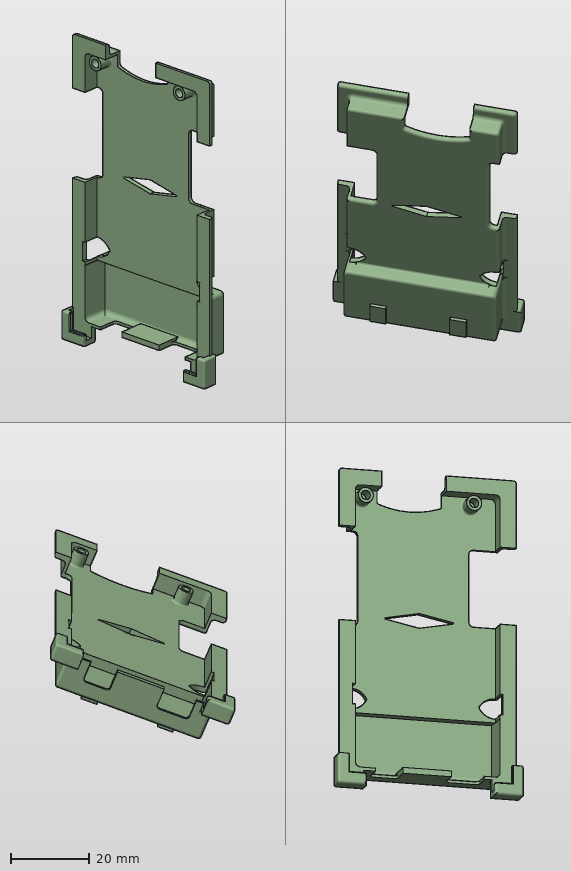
import cadquery as cq
import math

OVERALL_HEIGHT = 84.51
OVERALL_DEPTH = 13.97
CLIP_WIDTH = 49.3

FLANGE_WIDTH = 47.06
FLANGE_FRONT = 3.24
FLANGE_THICKNESS = 1.5
FLANGE_BACK = FLANGE_FRONT + FLANGE_THICKNESS
FLANGE_ROUND = 0.8
FLANGE_BOTTOM = 1.6

WALL = 0.8
TRAY_WIDTH = 40.04
TRAY_INNER_WIDTH = TRAY_WIDTH - 2 * WALL
TRAY_BOTTOM = 4.7
TRAY_TOP = 81.24
TRAY_BACK = 9.37
PLATE_THICKNESS = 1.5
PLATE_FRONT = TRAY_BACK - PLATE_THICKNESS
TRAY_CORNER = 0.8
POCKET_CORNER = 1.3
TRAY_EDGE_ROUND = 0.75
ROOT_FILLET = 1.1

BOX_TOP = 22.2
BOX_BACK = 13.07
BOX_FLOOR = 10.6
BOX_CORNER = 1.3
BOX_EDGE_ROUND = 0.8
BOX_TOP_WALL = 1.05
BOX_FLOOR_FILLET = 1.4
BOX_FLOOR_WIDTH = 37.9
BOX_INNER_TOP = BOX_TOP - BOX_TOP_WALL
BOX_INNER_BOTTOM = TRAY_BOTTOM + WALL
JUNCTION_FILLET = 0.55
JUNCTION_WIDTH = 34.8

SIDE_CUT_ROUND = 1.3
LEFT_CUT_X, LEFT_CUT_BOTTOM, LEFT_CUT_TOP = -17.3, 44.3, 69.35
RIGHT_CUT_X, RIGHT_CUT_BOTTOM, RIGHT_CUT_TOP = 12.2, 46.2, 66.65
NOTCH_LEFT, NOTCH_RIGHT = -12.2, 4.98
NOTCH_CORNER_Z = 77.1
NOTCH_LOW_Z = 75.5
NOTCH_ROUND = 0.6
DIAMOND_X, DIAMOND_Z = -1.0, 46.8
DIAMOND_LENGTH, DIAMOND_HEIGHT = 19.8, 3.9
DIAMOND_ROUND = 0.2

PORT_Z, PORT_HEIGHT = 24.9, 5.4
PORT_TIP_X = 14.9
PORT_ARC_START_X = TRAY_INNER_WIDTH / 2

BOSS_CENTRES = [(-16.3, 78.05), (12.5, 78.05)]
BOSS_RADIUS = 2.0
BOSS_HEIGHT = 4.0
BOSS_FILLET = 0.5
BOSS_HOLE_RADIUS = 1.2

CLIP_INNER_X = 17.05
CLIP_TOP = 8.2
CLIP_ROUND = 0.65
CLIP_LIP = 1.4
CLIP_WALL = 1.5
CLIP_WINDOW_X = 21.6
CLIP_WINDOW_Z = 3.27
CLIP_WINDOW_CHAMFER = 0.25

TONGUE_LEFT, TONGUE_RIGHT = -6.6, 6.25
TONGUE_THICKNESS = 1.55
SLOT_LEFT, SLOT_RIGHT = -13.9, 15.1
SLOT_BACK = 8.9
SLOT_ROUND = 1.0

PAD_SPANS = [(-12.35, -8.05), (8.7, 12.85)]
PAD_BOTTOM, PAD_TOP = 5.75, 11.65

CLEARANCE = 1.0
TOLERANCE = 0.1


def block(x_range, y_range, z_range):
    """Axis-aligned box given by its limits."""
    (x0, x1), (y0, y1), (z0, z1) = x_range, y_range, z_range
    return cq.Workplane("XY").box(x1 - x0, y1 - y0, z1 - z0, centered=False).translate((x0, y0, z0))


def centred(width):
    """Limits of a span centred on X = 0."""
    return -width / 2, width / 2


def front_plane(y):
    """Sketch plane at depth y with sketch axes X and Z; positive extrusion goes toward -Y."""
    return cq.Workplane(cq.Plane(origin=(0, y, 0), xDir=(1, 0, 0), normal=(0, -1, 0)))


def through(sketch):
    """Extrude a closed sketch drawn on the front plane through the whole depth."""
    return sketch.extrude(-OVERALL_DEPTH)


def arc_middle_offset(radius):
    """Distance from either wall to the middle of a quarter-round fillet between two square walls."""
    return radius * (1 - math.sqrt(0.5))


def make_tray_blank():
    flange = block(centred(FLANGE_WIDTH), (FLANGE_FRONT, FLANGE_BACK), (FLANGE_BOTTOM, OVERALL_HEIGHT))
    flange = flange.edges("|Y and >Z").fillet(FLANGE_ROUND)
    flange = flange.faces(">Y").edges("not <Z").fillet(FLANGE_ROUND)
    tray = block(centred(TRAY_WIDTH), (FLANGE_FRONT, TRAY_BACK), (TRAY_BOTTOM, TRAY_TOP))
    tray = tray.edges("|Y").fillet(TRAY_CORNER)
    root_edges = cq.selectors.BoxSelector(
        (-TRAY_WIDTH / 2 - TOLERANCE, FLANGE_BACK - TOLERANCE, TRAY_BOTTOM - TOLERANCE),
        (TRAY_WIDTH / 2 + TOLERANCE, FLANGE_BACK + TOLERANCE, TRAY_TOP + TOLERANCE),
    )
    return flange.union(tray).edges(root_edges).fillet(ROOT_FILLET)


def make_tray_pocket():
    pocket = block(
        centred(TRAY_INNER_WIDTH),
        (FLANGE_FRONT - CLEARANCE, PLATE_FRONT),
        (BOX_INNER_TOP, TRAY_TOP - WALL),
    )
    return pocket.edges("|Y and >Z").fillet(POCKET_CORNER)


def make_side_cut(x_inner, direction, z_bottom, z_top):
    x_outer = direction * CLIP_WIDTH
    cut = block(sorted((x_inner, x_outer)), (0, OVERALL_DEPTH), (z_bottom, z_top))
    inner_side = "<X" if direction > 0 else ">X"
    return cut.edges("|Y").edges(inner_side).fillet(SIDE_CUT_ROUND)


def make_top_notch():
    top = OVERALL_HEIGHT + CLEARANCE
    middle = (NOTCH_LEFT + NOTCH_RIGHT) / 2
    notch = through(
        front_plane(0)
        .moveTo(NOTCH_LEFT, top)
        .lineTo(NOTCH_LEFT, NOTCH_CORNER_Z)
        .threePointArc((middle, NOTCH_LOW_Z), (NOTCH_RIGHT, NOTCH_CORNER_Z))
        .lineTo(NOTCH_RIGHT, top)
        .close()
    )
    corners = cq.selectors.BoxSelector(
        (NOTCH_LEFT - TOLERANCE, 0, NOTCH_CORNER_Z - TOLERANCE),
        (NOTCH_RIGHT + TOLERANCE, OVERALL_DEPTH, NOTCH_CORNER_Z + TOLERANCE),
    )
    return notch.edges(corners).fillet(NOTCH_ROUND)


def make_diamond():
    half_length, half_height = DIAMOND_LENGTH / 2, DIAMOND_HEIGHT / 2
    diamond = through(
        front_plane(0)
        .moveTo(DIAMOND_X - half_length, DIAMOND_Z)
        .lineTo(DIAMOND_X, DIAMOND_Z + half_height)
        .lineTo(DIAMOND_X + half_length, DIAMOND_Z)
        .lineTo(DIAMOND_X, DIAMOND_Z - half_height)
        .close()
    )
    return diamond.edges("|Y").edges("<X or >X").fillet(DIAMOND_ROUND)


def make_port(side):
    """Pointed opening; side is -1 for the -X wall and +1 for the +X wall."""
    outer = side * TRAY_WIDTH / 2
    start = side * PORT_ARC_START_X
    tip = side * PORT_TIP_X
    half = PORT_HEIGHT / 2
    top, bottom = PORT_Z + half, PORT_Z - half
    upper_outline = (
        front_plane(0)
        .moveTo(outer, PORT_Z)
        .lineTo(outer, top)
        .lineTo(start, top)
        .tangentArcPoint((tip, PORT_Z), relative=False)
        .close()
    )
    upper_half = through(upper_outline)
    port = upper_half.union(upper_half.mirror("XY", (0, 0, PORT_Z)))
    wall_cut = block(
        sorted((start, side * FLANGE_WIDTH)),
        (FLANGE_BACK, OVERALL_DEPTH),
        (BOX_TOP - BOX_CORNER, top),
    )
    return port.union(wall_cut)


def make_box():
    box = block(centred(TRAY_WIDTH), (FLANGE_BACK, BOX_BACK), (TRAY_BOTTOM, BOX_TOP))
    box = box.edges("|Y and >Z").fillet(BOX_CORNER)
    box = box.edges("|Y and <Z").fillet(TRAY_CORNER)
    return box.faces(">Y").edges().fillet(BOX_EDGE_ROUND)


def make_junction_fillet():
    """Concave strip where the top of the box meets the back of the plate."""
    r = JUNCTION_FILLET
    bend = arc_middle_offset(r)
    strip = (
        cq.Workplane("YZ")
        .moveTo(TRAY_BACK, BOX_TOP + r)
        .threePointArc((TRAY_BACK + bend, BOX_TOP + bend), (TRAY_BACK + r, BOX_TOP))
        .lineTo(TRAY_BACK + r, BOX_TOP - BOX_TOP_WALL)
        .lineTo(TRAY_BACK, BOX_TOP - BOX_TOP_WALL)
        .close()
        .extrude(JUNCTION_WIDTH)
    )
    return strip.translate((-JUNCTION_WIDTH / 2, 0, 0))


def make_box_pocket():
    """Pocket narrowing toward its floor; the floor blends into the bottom wall."""
    front_half, floor_half = TRAY_INNER_WIDTH / 2, BOX_FLOOR_WIDTH / 2
    tapered = (
        cq.Workplane("XY", origin=(0, 0, BOX_INNER_BOTTOM))
        .moveTo(-front_half, FLANGE_FRONT)
        .lineTo(front_half, FLANGE_FRONT)
        .lineTo(floor_half, BOX_FLOOR)
        .lineTo(-floor_half, BOX_FLOOR)
        .close()
        .extrude(BOX_INNER_TOP - BOX_INNER_BOTTOM)
    )
    tapered = tapered.faces("<Z").edges("not |X").fillet(POCKET_CORNER)
    trough = block(
        centred(TRAY_WIDTH), (FLANGE_FRONT, BOX_FLOOR), (BOX_INNER_BOTTOM, BOX_INNER_TOP)
    )
    trough = trough.edges(">Y and <Z").fillet(BOX_FLOOR_FILLET)
    return tapered.intersect(trough)


def make_slot(x_left, x_right):
    slot = block((x_left, x_right), (0, SLOT_BACK), (0, TRAY_BOTTOM + WALL))
    return slot.edges("|Z and >Y").fillet(SLOT_ROUND)


def make_boss(x, z):
    sketch = front_plane(PLATE_FRONT).center(x, z)
    boss = sketch.circle(BOSS_RADIUS).extrude(BOSS_HEIGHT)
    r = BOSS_FILLET
    bend = arc_middle_offset(r)
    foot = (
        cq.Workplane("XY", origin=(x, PLATE_FRONT, z))
        .moveTo(0, 0)
        .lineTo(BOSS_RADIUS + r, 0)
        .threePointArc((BOSS_RADIUS + bend, -bend), (BOSS_RADIUS, -r))
        .lineTo(0, -r)
        .close()
        .revolve(360, (0, 0, 0), (0, 1, 0))
    )
    return boss.union(foot)


def make_boss_hole(x, z):
    return front_plane(PLATE_FRONT).center(x, z).circle(BOSS_HOLE_RADIUS).extrude(BOSS_HEIGHT)


def make_clip():
    """Clip at the +X corner: a channel open toward the tray, with an L-shaped front lip."""
    outer_x = CLIP_WIDTH / 2
    clip = block((CLIP_INNER_X, outer_x), (0, FLANGE_BACK), (0, CLIP_TOP))
    clip = clip.edges(">X or (<X and <Y) or (<Z and (<Y or >Y)) or (>Z and <Y)").fillet(CLIP_ROUND)
    channel = block(
        (0, outer_x - CLIP_WALL), (CLIP_LIP, FLANGE_FRONT), (CLIP_WALL, CLIP_TOP + CLEARANCE)
    )
    window = block((0, CLIP_WINDOW_X), (-CLEARANCE, CLIP_LIP), (CLIP_WINDOW_Z, CLIP_TOP + CLEARANCE))
    clip = clip.cut(channel).cut(window)
    window_edges = cq.selectors.BoxSelector(
        (CLIP_INNER_X - TOLERANCE, -TOLERANCE, CLIP_WINDOW_Z - TOLERANCE),
        (CLIP_WINDOW_X + TOLERANCE, CLIP_LIP + TOLERANCE, CLIP_TOP),
    )
    clip = clip.edges(window_edges).edges("not |Y").chamfer(CLIP_WINDOW_CHAMFER)
    return clip


tray_pocket = make_tray_pocket()
tray = make_tray_blank().cut(tray_pocket)
tray = tray.cut(make_side_cut(LEFT_CUT_X, -1, LEFT_CUT_BOTTOM, LEFT_CUT_TOP))
tray = tray.cut(make_side_cut(RIGHT_CUT_X, 1, RIGHT_CUT_BOTTOM, RIGHT_CUT_TOP))
tray = tray.cut(make_top_notch())
back_outline = tray.faces(">Y").wires().edges()
tray = back_outline.fillet(TRAY_EDGE_ROUND)
tray = tray.cut(make_diamond())
for side in (-1, 1):
    tray = tray.cut(make_port(side))

body = tray.union(make_box()).union(make_junction_fillet())
box_pocket = make_box_pocket()
clip = make_clip()
bottom_gap = block((-CLIP_INNER_X, CLIP_INNER_X), (0, OVERALL_DEPTH), (0, TRAY_BOTTOM))
body = body.cut(bottom_gap).union(clip).union(clip.mirror("YZ")).cut(tray_pocket).cut(box_pocket)
body = body.cut(make_slot(SLOT_LEFT, TONGUE_LEFT)).cut(make_slot(TONGUE_RIGHT, SLOT_RIGHT))
body = body.union(
    block(
        (TONGUE_LEFT, TONGUE_RIGHT),
        (FLANGE_FRONT, BOX_FLOOR),
        (TRAY_BOTTOM, TRAY_BOTTOM + TONGUE_THICKNESS),
    )
)
for x, z in BOSS_CENTRES:
    body = body.union(make_boss(x, z)).cut(make_boss_hole(x, z))
for span in PAD_SPANS:
    body = body.union(block(span, (BOX_FLOOR, OVERALL_DEPTH), (PAD_BOTTOM, PAD_TOP)))

result = body